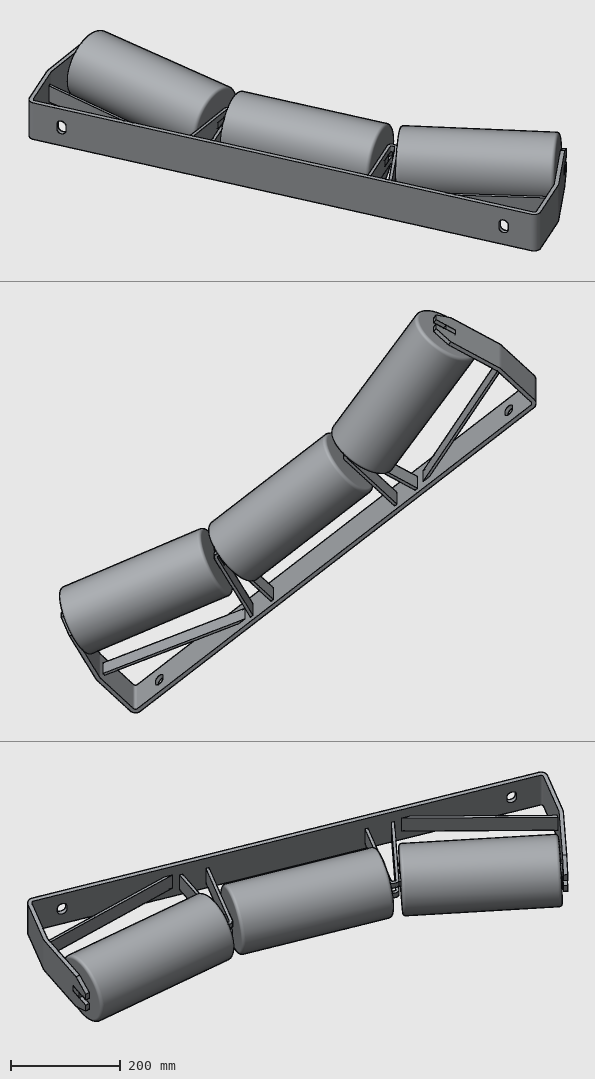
import cadquery as cq
import math

roller_diameter = 133.0
roller_length = 292.0
roller_rim_radius = 6.0
shaft_thickness = 14.0
shaft_width = 20.0
mount_gap = 300.0

trough_angle = 15.0
roller_drop = 6.8
middle_roller_y = 125.0
wing_x = 319.5
wing_y = 167.42
wing_z = -roller_drop / 2
forward_tilt = math.degrees(math.atan(roller_drop / mount_gap))

frame_length = 1000.0
frame_height = 82.0
frame_thickness = 8.0
corner_radius = 13.0
shoulder_radius = 22.0
tip_y = 239.0
tip_chamfer_length = 32.0
tip_chamfer_height = 18.0
bolt_slot_x = 432.5
bolt_slot_width = 18.0
bolt_slot_height = 28.0

bracket_thickness = 6.0
bracket_height = 40.0
bracket_top_y = 151.0
bracket_bend_radius = 8.0

brace_thickness = 5.0
brace_height = 36.0
brace_wall_y = 96.0
brace_foot_x = 220.0

sine = math.sin(math.radians(trough_angle))
cosine = math.cos(math.radians(trough_angle))
frame_half = frame_length / 2
inner_half = frame_half - frame_thickness


def outer_roller_place(side):
    """Location that turns a roller lying along X into the outer place on one side (-1 or 1)."""
    return (
        cq.Location(cq.Vector(side * wing_x, wing_y, wing_z))
        * cq.Location(cq.Vector(), cq.Vector(0, 0, 1), side * trough_angle)
        * cq.Location(cq.Vector(), cq.Vector(0, 1, 0), -side * forward_tilt)
    )


middle_place = cq.Location(cq.Vector(0, middle_roller_y, -roller_drop))


def wing_point(along, up):
    """Point on the +X side, measured along and across the axis of the outer roller."""
    return (wing_x + along * cosine - up * sine, wing_y + along * sine + up * cosine)


def wing_point_at_y(along, y):
    """Point at height y on the mounting plane at the given distance along the outer roller."""
    return wing_point(along, (y - wing_y - along * sine) / cosine)


def wing_point_at_x(along, x):
    """Point at the given x on the mounting plane at the given distance along the outer roller."""
    return wing_point(along, (wing_x + along * cosine - x) / sine)


def make_roller(start_mount_thickness, end_mount_thickness):
    """Drum along X; its flat-sided shaft reaches the far face of the mount at each end."""
    drum = (
        cq.Workplane("YZ")
        .circle(roller_diameter / 2)
        .extrude(roller_length)
        .translate((-roller_length / 2, 0, 0))
        .edges()
        .fillet(roller_rim_radius)
    )
    shaft_start = -mount_gap / 2 - start_mount_thickness
    shaft_end = mount_gap / 2 + end_mount_thickness
    shaft = cq.Workplane("XY").box(
        shaft_end - shaft_start, shaft_width, shaft_thickness, centered=(False, True, True)
    )
    return drum.union(shaft.translate((shaft_start, 0, 0)))


def make_slot_cutter(x_center):
    """Block that cuts a shaft slot, open towards +Y, in the mount at one end of a roller."""
    slot_depth = 100.0
    slot_reach = 24.0
    return (
        cq.Workplane("XY")
        .box(slot_reach, slot_depth, shaft_thickness, centered=(True, False, True))
        .translate((x_center, -shaft_width / 2, 0))
    )


def make_strip(points, height):
    """Upright strip, centred on the plane Z = 0, with the given outline."""
    return cq.Workplane("XY").polyline(points).close().extrude(height / 2, both=True)


def round_upright_edges(body, radius_by_point):
    """Round the edges that run along Z through the given points."""
    reach = 0.5
    for (x, y), radius in radius_by_point:
        box = cq.selectors.BoxSelector((x - reach, y - reach, -reach), (x + reach, y + reach, reach))
        body = body.edges("|Z").edges(box).fillet(radius)
    return body


def make_frame():
    """Strip bent up at both ends, with tips leaning square to the outer rollers."""
    outer_plane = mount_gap / 2 + frame_thickness
    inner_plane = mount_gap / 2
    outer_shoulder = wing_point_at_x(outer_plane, frame_half)
    inner_shoulder = wing_point_at_x(inner_plane, inner_half)
    tip_up = (tip_y - wing_y - outer_plane * sine) / cosine
    right_half = [
        (frame_half, 0),
        outer_shoulder,
        wing_point(outer_plane, tip_up),
        wing_point(inner_plane, tip_up),
        inner_shoulder,
        (inner_half, frame_thickness),
    ]
    left_half = [(-x, y) for x, y in reversed(right_half)]
    frame = make_strip(right_half + left_half, frame_height)

    bends = [
        ((frame_half, 0), corner_radius),
        ((inner_half, frame_thickness), corner_radius - frame_thickness),
        (outer_shoulder, shoulder_radius),
        (inner_shoulder, shoulder_radius - frame_thickness),
    ]
    bends += [((-x, y), radius) for (x, y), radius in bends]
    frame = round_upright_edges(frame, bends)

    for side in (-1, 1):
        frame = cut_frame_end(frame, side, tip_up)

    bolt_slots = (
        cq.Workplane("XZ")
        .pushPoints([(-bolt_slot_x, 0), (bolt_slot_x, 0)])
        .slot2D(bolt_slot_height, bolt_slot_width, 90)
        .extrude(-frame_thickness)
    )
    return frame.cut(bolt_slots)


def cut_frame_end(frame, side, tip_up):
    """Taper the tip on one side and cut its shaft slot."""
    half_height = frame_height / 2
    tip_place = cq.Location(cq.Vector(side * wing_x, wing_y, 0)) * cq.Location(
        cq.Vector(), cq.Vector(0, 0, 1), side * trough_angle
    )
    for edge in (-1, 1):
        taper = (
            cq.Workplane("YZ")
            .polyline(
                [
                    (tip_up, edge * half_height),
                    (tip_up - tip_chamfer_length, edge * half_height),
                    (tip_up, edge * (half_height - tip_chamfer_height)),
                ]
            )
            .close()
            .extrude(side * mount_gap)
        )
        frame = frame.cut(cq.Workplane(taper.val().moved(tip_place)))
    slot = make_slot_cutter(side * mount_gap / 2)
    return frame.cut(cq.Workplane(slot.val().moved(outer_roller_place(side))))


def make_bracket(side):
    """Folded bracket standing on the base strip, one leg square to each neighbouring roller."""
    near_plane = -mount_gap / 2
    far_plane = near_plane - bracket_thickness
    upright_near = mount_gap / 2
    upright_far = upright_near + bracket_thickness
    under_y = bracket_top_y - bracket_thickness
    outer_top = wing_point_at_y(near_plane, bracket_top_y)
    inner_top = wing_point_at_y(far_plane, under_y)
    outline = [
        (upright_near, frame_thickness),
        (upright_near, bracket_top_y),
        outer_top,
        wing_point_at_y(near_plane, frame_thickness),
        wing_point_at_y(far_plane, frame_thickness),
        inner_top,
        (upright_far, under_y),
        (upright_far, frame_thickness),
    ]
    bends = [
        ((upright_near, bracket_top_y), bracket_bend_radius),
        (outer_top, bracket_bend_radius),
        (inner_top, bracket_bend_radius - bracket_thickness),
        ((upright_far, under_y), bracket_bend_radius - bracket_thickness),
    ]
    outline = [(side * x, y) for x, y in outline]
    bends = [((side * x, y), radius) for (x, y), radius in bends]
    bracket = round_upright_edges(make_strip(outline, bracket_height), bends)
    bracket = bracket.translate((0, 0, -roller_drop))

    upright_slot = make_slot_cutter(side * mount_gap / 2)
    leaning_slot = make_slot_cutter(-side * mount_gap / 2)
    bracket = bracket.cut(cq.Workplane(upright_slot.val().moved(middle_place)))
    return bracket.cut(cq.Workplane(leaning_slot.val().moved(outer_roller_place(side))))


def make_brace(side):
    """Sloping flat bar from the frame side down to the base strip."""
    slope = math.atan2(brace_wall_y - frame_thickness, inner_half - brace_foot_x)
    rise = brace_thickness / math.cos(slope)
    run = brace_thickness / math.sin(slope)
    outline = [
        (inner_half, brace_wall_y),
        (inner_half, brace_wall_y - rise),
        (brace_foot_x + run, frame_thickness),
        (brace_foot_x, frame_thickness),
    ]
    return make_strip([(side * x, y) for x, y in outline], brace_height)


frame = make_frame()
brackets = [make_bracket(side) for side in (-1, 1)]
braces = [make_brace(side) for side in (-1, 1)]

middle_roller = make_roller(bracket_thickness, bracket_thickness).val().moved(middle_place)
right_roller = make_roller(bracket_thickness, frame_thickness).val().moved(outer_roller_place(1))
left_roller = make_roller(frame_thickness, bracket_thickness).val().moved(outer_roller_place(-1))

result = cq.Compound.makeCompound(
    [
        frame.val(),
        *[bracket.val() for bracket in brackets],
        *[brace.val() for brace in braces],
        left_roller,
        middle_roller,
        right_roller,
    ]
)